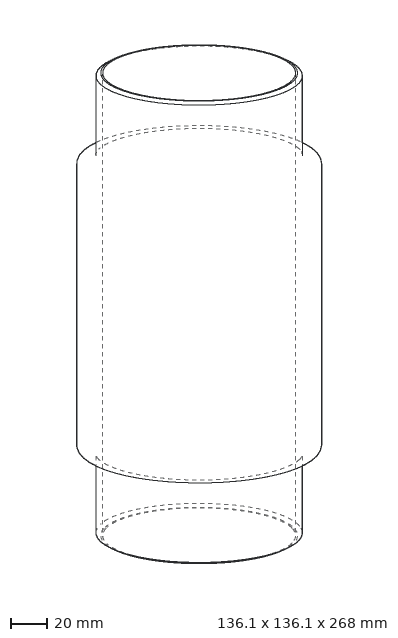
import cadquery as cq
import math

length = 268
body_diameter = 136.1
pipe_diameter = 114.7
bore_diameter = 107.2

stub_length = 50.0

shoulder_round = 2.7
root_fillet = 3.2
bevel_width = 2.7
bevel_angle = 30

body_radius = body_diameter / 2
pipe_radius = pipe_diameter / 2
bore_radius = bore_diameter / 2
bevel_height = bevel_width * math.tan(math.radians(bevel_angle))
body_length = length - 2 * stub_length


def cylinder(radius, height):
    """Cylinder on the Z axis, centred on the origin."""
    return cq.Workplane("XY").workplane(offset=-height / 2).circle(radius).extrude(height)


def circles_of(solid, radius, height):
    """Circular edges of the given radius at +height and -height."""
    tolerance = 0.03
    return solid.edges("%CIRCLE").filter(
        lambda edge: abs(edge.radius() - radius) < tolerance
        and abs(abs(edge.Center().z) - height) < tolerance
    )


part = cylinder(pipe_radius, length).union(cylinder(body_radius, body_length))

part = circles_of(part, body_radius, body_length / 2).fillet(shoulder_round)
part = circles_of(part, pipe_radius, body_length / 2).fillet(root_fillet)

part = part.cut(cylinder(bore_radius, length))

for end_face in (">Z", "<Z"):
    rim = circles_of(part.faces(end_face), pipe_radius, length / 2)
    part = rim.chamfer(bevel_width, bevel_height)

result = part